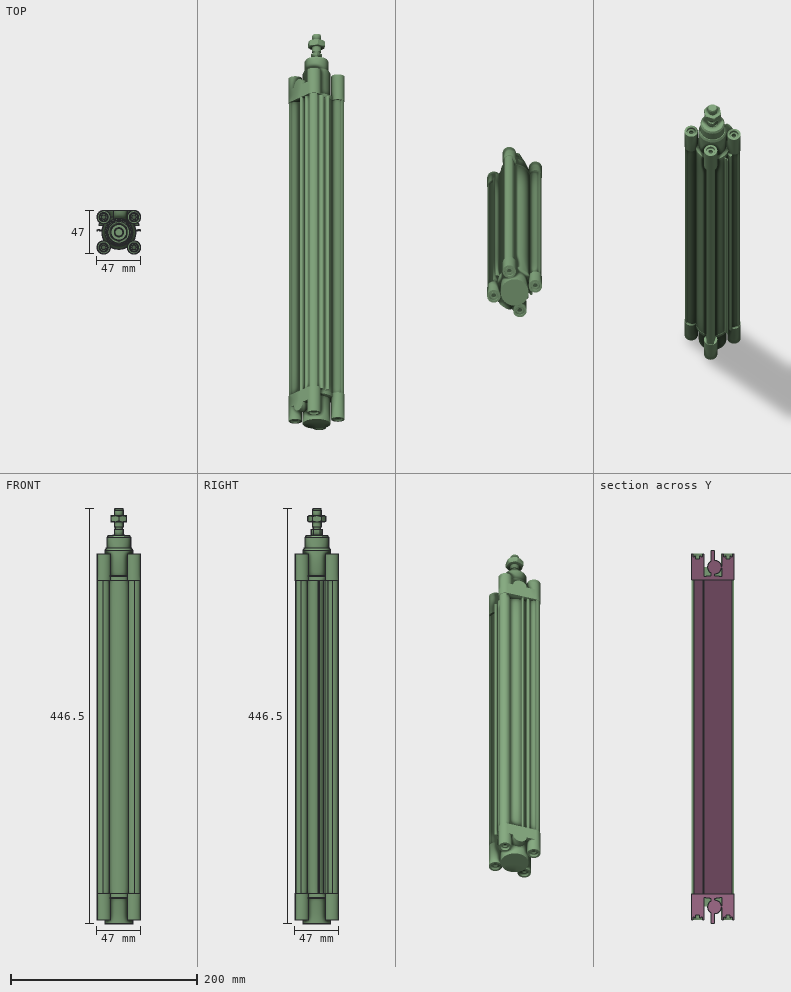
import cadquery as cq
import math

total_height = 446.5
width = 47.0
end_boss_height = 4.0
cap_height = 28.5
barrel_bottom = end_boss_height + cap_height
barrel_top = 369.3
barrel_length = barrel_top - barrel_bottom

lug_spacing = 32.5
lug_offset = lug_spacing / 2
lug_radius = width / 2 - lug_offset
cap_core_diameter = 30.0
flange_diameter = 36.5
flange_height = 4.0
flange_slope_height = 1.5

recess_diameter = 10.0
recess_depth = 3.0
screw_head_diameter = 8.0
screw_head_height = 1.0
socket_diameter = 5.0
socket_depth = 5.5

port_radius = 7.5
port_offset_x = 2.0
port_height = cap_height / 2

shoulder_top = 404.0
shoulder_chamfer_width = 1.5
shoulder_chamfer_height = 2.5
collar_diameter = 26.0
collar_top = 417.5
collar_chamfer_width = 1.5
collar_chamfer_height = 2.2

barrel_core_radius = 18.0
column_wall = 10.3
column_face = 21.0
nose_center = 17.0
column_radius = nose_center - column_wall
column_arc_start = column_face - column_radius
nose_radius = 6.0
lip_bottom = 7.0
lip_top = 9.0
lip_reach = 21.5
hook_reach = width / 2
hook_radius = 2.0
hook_wall = 0.65
hook_stem_height = 1.0
hook_center_y = 1.5
hook_center_x = hook_reach - hook_radius

rod_diameter = 12.0
thread_diameter = 10.0
thread_chamfer_width = 0.65
thread_chamfer_height = 2.0
relief_diameter = 8.0
relief_bottom = 424.0
relief_top = 427.0
flats_bottom = 418.5
flats_width = 10.0

nut_width = 17.0
nut_bottom = 432.0
nut_height = 6.5
nut_chamfer_height = 1.1
nut_corner_radius = nut_width / math.sqrt(3)


def disc(diameter, bottom, height):
    """Cylinder on the Z axis."""
    return cq.Workplane("XY").workplane(offset=bottom).circle(diameter / 2).extrude(height)


def lug_points():
    """Workplane stack at the four lug centers on Z = 0."""
    return cq.Workplane("XY").rect(lug_spacing, lug_spacing, forConstruction=True).vertices()


def port_block():
    """Round port boss with its square foot between the two +Y lugs."""
    boss = (
        cq.Workplane("XZ")
        .center(port_offset_x, port_height)
        .circle(port_radius)
        .extrude(-width / 2)
    )
    foot_depth = width / 2 - lug_offset
    foot = (
        cq.Workplane("XY")
        .center(0, lug_offset + foot_depth / 2)
        .rect(lug_spacing, foot_depth)
        .extrude(port_height)
    )
    return boss.union(foot)


def plain_cap():
    """Cap standing on Z = 0, with its flange at the bottom and the screw recesses on top."""
    flange_profile = [
        (0, 0),
        (flange_diameter / 2, 0),
        (flange_diameter / 2, flange_height),
        (cap_core_diameter / 2, flange_height + flange_slope_height),
        (0, flange_height + flange_slope_height),
    ]
    flange = cq.Workplane("XZ").polyline(flange_profile).close().revolve()
    cap = disc(cap_core_diameter, 0, cap_height).union(flange).union(port_block())
    cap = cap.union(lug_points().circle(lug_radius).extrude(cap_height))
    recess = lug_points().circle(recess_diameter / 2).extrude(-recess_depth)
    head = lug_points().circle(screw_head_diameter / 2).extrude(screw_head_height)
    head = head.translate((0, 0, -recess_depth))
    socket = lug_points().circle(socket_diameter / 2).extrude(-socket_depth)
    cutter = recess.cut(head).union(socket)
    return cap.cut(cutter.translate((0, 0, cap_height)))


def make_lower_cap():
    """Inverted cap whose core runs on below the lugs as the end boss."""
    cap = plain_cap().mirror("XY").translate((0, 0, barrel_bottom))
    return cap.union(disc(cap_core_diameter, 0, barrel_bottom / 2))


def make_collar():
    """Stepped guide collar and shoulder, both with chamfered rims."""
    shoulder_radius = cap_core_diameter / 2
    collar_radius = collar_diameter / 2
    profile = [
        (0, barrel_top),
        (shoulder_radius, barrel_top),
        (shoulder_radius, shoulder_top - shoulder_chamfer_height),
        (shoulder_radius - shoulder_chamfer_width, shoulder_top),
        (collar_radius, shoulder_top),
        (collar_radius, collar_top - collar_chamfer_height),
        (collar_radius - collar_chamfer_width, collar_top),
        (0, collar_top),
    ]
    return cq.Workplane("XZ").polyline(profile).close().revolve()


def make_upper_cap():
    """Upright cap with the guide collar, bored through for the rod."""
    cap = plain_cap().translate((0, 0, barrel_top))
    return cap.union(make_collar()).cut(disc(rod_diameter, barrel_top, total_height - barrel_top))


def make_column():
    """Corner column: a block with two rounded shoulders and a quarter-round nose on the diagonal."""
    return (
        cq.Workplane("XY")
        .moveTo(column_wall, column_wall)
        .lineTo(column_wall, column_arc_start)
        .radiusArc((nose_center, column_face), column_radius)
        .lineTo(nose_center, nose_center + nose_radius)
        .radiusArc((nose_center + nose_radius, nose_center), nose_radius)
        .lineTo(column_face, nose_center)
        .radiusArc((column_arc_start, column_wall), column_radius)
        .close()
        .extrude(barrel_length)
    )


def make_rail():
    """Sensor rail on the +X side: a lip on the column and a hooked stem beside it."""
    lip = (
        cq.Workplane("XY")
        .moveTo(column_arc_start, lip_bottom)
        .lineTo(lip_reach, lip_bottom)
        .lineTo(lip_reach, lip_top)
        .lineTo(nose_center, column_arc_start)
        .close()
        .extrude(barrel_length)
    )
    stem_length = hook_center_x - hook_radius + hook_wall - column_arc_start
    stem = (
        cq.Workplane("XY")
        .moveTo(column_arc_start + stem_length / 2, hook_center_y + hook_stem_height / 2)
        .rect(stem_length, hook_stem_height)
        .extrude(barrel_length)
    )
    inner = hook_radius - hook_wall
    arch = (
        cq.Workplane("XY")
        .moveTo(hook_center_x - hook_radius, hook_center_y)
        .threePointArc((hook_center_x, hook_center_y + hook_radius), (hook_reach, hook_center_y))
        .lineTo(hook_center_x + inner, hook_center_y)
        .threePointArc((hook_center_x, hook_center_y + inner), (hook_center_x - inner, hook_center_y))
        .close()
        .extrude(barrel_length)
    )
    return lip.union(stem).union(arch)


def make_barrel():
    """Round barrel with four corner columns and rails on the +X, -X and +Y sides."""
    barrel = cq.Workplane("XY").circle(barrel_core_radius).extrude(barrel_length)
    column = make_column()
    for quarter_turn in (0, 90, 180, 270):
        barrel = barrel.union(column.rotate((0, 0, 0), (0, 0, 1), quarter_turn))
    rail = make_rail()
    barrel = barrel.union(rail).union(rail.mirror("YZ"))
    barrel = barrel.union(rail.rotate((0, 0, 0), (0, 0, 1), 90))
    return barrel.translate((0, 0, barrel_bottom))


def make_rod():
    """Rod with wrench flats, a thread relief groove and a plain cylinder for the thread."""
    shank = disc(rod_diameter, barrel_top, relief_bottom - barrel_top)
    flats = (
        cq.Workplane("XY")
        .workplane(offset=flats_bottom)
        .rect(flats_width, rod_diameter)
        .extrude(relief_bottom - flats_bottom)
    )
    shank = shank.intersect(flats.union(disc(rod_diameter, barrel_top, flats_bottom - barrel_top)))
    relief = disc(relief_diameter, relief_bottom, relief_top - relief_bottom)
    thread = disc(thread_diameter, relief_top, total_height - relief_top)
    thread = thread.faces(">Z").chamfer(thread_chamfer_height, thread_chamfer_width)
    return shank.union(relief).union(thread)


def make_nut():
    """Hexagon nut with two flats facing +X and -X."""
    prism = (
        cq.Workplane("XY")
        .workplane(offset=nut_bottom)
        .transformed(rotate=(0, 0, 90))
        .polygon(6, 2 * nut_corner_radius)
        .extrude(nut_height)
    )
    envelope = disc(2 * nut_corner_radius, nut_bottom, nut_height)
    envelope = envelope.edges().chamfer(nut_chamfer_height, nut_corner_radius - nut_width / 2)
    bore = disc(thread_diameter, nut_bottom, nut_height)
    return prism.intersect(envelope).cut(bore)


lower_cap = make_lower_cap()
upper_cap = make_upper_cap()
barrel = make_barrel()
rod = make_rod()
nut = make_nut()
result = cq.Compound.makeCompound(
    [lower_cap.val(), upper_cap.val(), barrel.val(), rod.val(), nut.val()]
)